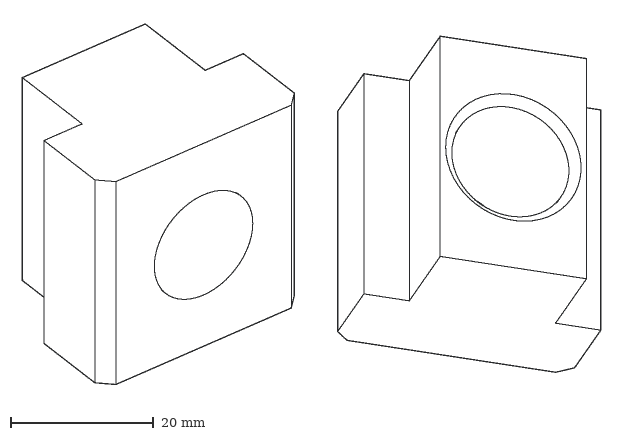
import cadquery as cq

length = 28.0
flange_width = 35.0
height = 35.0

neck_length = 14.0
neck_width = 21.6

back_chamfer = 2.1

bore_diameter = 17.29
countersink_diameter = 20.0
countersink_depth = (countersink_diameter - bore_diameter) / 2


def make_t_block():
    """T-shaped profile extruded along Z, with the neck face at X = 0."""
    flange_length = length - neck_length
    neck = cq.Workplane("XY").box(neck_length, neck_width, height, centered=(False, True, True))
    flange = (
        cq.Workplane("XY")
        .box(flange_length, flange_width, height, centered=(False, True, True))
        .edges("|Z and >X")
        .chamfer(back_chamfer)
        .translate((neck_length, 0, 0))
    )
    return neck.union(flange)


def make_bore():
    """Through bore along X with a conical entry at the neck face."""
    bore_radius = bore_diameter / 2
    countersink_radius = countersink_diameter / 2
    return (
        cq.Workplane("XY")
        .lineTo(0, countersink_radius)
        .lineTo(countersink_depth, bore_radius)
        .lineTo(length, bore_radius)
        .lineTo(length, 0)
        .close()
        .revolve(360, (0, 0, 0), (1, 0, 0))
    )


result = make_t_block().cut(make_bore())